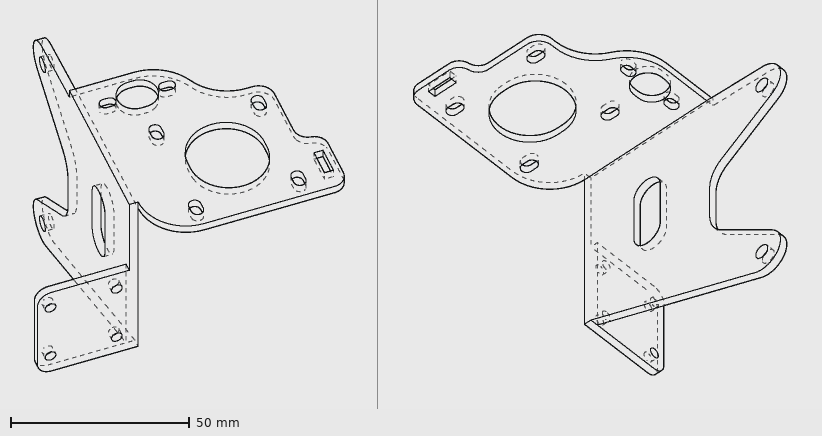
import cadquery as cq
import math

sheet = 2.7
flange_sheet = 2.5

wall_right = 46.55
ear_radius = 7.1
ear_hole_diameter = 4.5
ear_reach = 28.1
ear_x = ear_radius - ear_reach
overall_height = 83.6
lower_ear_z = ear_radius - overall_height
ear_pitch = 65.9
upper_ear_z = lower_ear_z + ear_pitch
middle_z = (upper_ear_z + lower_ear_z) / 2
notch_x = -1.2
notch_radius = 10.0
notch_flat = 11.3
wall_slot_length = 25.1
wall_slot_width = 10.0
wall_slot_x = 22.7
wall_slot_z = -31.15

flange_reach = 27.6
flange_height = 32.6
flange_corner = 4.2
flange_hole_diameter = 3.2
flange_hole_pitch = 19.9
flange_hole_y = -13.7
flange_left = wall_right - flange_sheet
flange_bottom = middle_z - flange_height / 2

overall_depth = 88.0
plate_back = overall_depth - flange_reach
plate_right = 60.9
front_corner = plate_right - wall_right
tab_step = 7.2
tab_radius = 4.2
tab_curve_x = 40.85
shoulder_y = plate_back - tab_step
shoulder_x = 17.1
shoulder_radius = 4.8
side_curve_start = 19.4
side_curve_end = 46.6

motor_x = 38.9
motor_y = 32.5
motor_pitch = 30.8
motor_travel = 2.05
motor_bore = 23.0
motor_screw = 3.6
sensor_x = 8.2
sensor_y = 17.3
sensor_pitch = 17.9
sensor_travel = 1.6
sensor_bore = 10.4
sensor_screw = 3.2
tab_window_x = 50.9
tab_window_y = 56.8
tab_window_length = 8.1
tab_window_width = 2.7


def on_circle(center, radius, angle):
    """Point on a circle at an angle in radians."""
    return (center[0] + radius * math.cos(angle), center[1] + radius * math.sin(angle))


def corner_middle(center, radius, quadrant_angle):
    """Middle point of a quarter-round corner."""
    return on_circle(center, radius, math.radians(quadrant_angle))


def tangent_normal(corner, center, radius, side):
    """Angle of the circle point where a line from an outside corner touches it."""
    dx = corner[0] - center[0]
    dz = corner[1] - center[1]
    return math.atan2(dz, dx) + side * math.acos(radius / math.hypot(dx, dz))


def make_wall():
    upper = (ear_x, upper_ear_z)
    lower = (ear_x, lower_ear_z)
    step_corner = (0, -sheet)
    flange_corner_point = (flange_left, flange_bottom)
    top_angle = tangent_normal(step_corner, upper, ear_radius, 1)
    bottom_angle = tangent_normal(flange_corner_point, lower, ear_radius, -1)

    notch_upper = (notch_x - notch_radius, middle_z + notch_flat / 2)
    notch_lower = (notch_upper[0], middle_z - notch_flat / 2)
    dx = notch_upper[0] - upper[0]
    dz = notch_upper[1] - upper[1]
    normal = math.atan2(dz, dx) - math.acos((ear_radius + notch_radius) / math.hypot(dx, dz))
    normal %= 2 * math.pi
    facing = normal - math.pi
    profile = (
        cq.Workplane("XZ")
        .moveTo(0, 0)
        .lineTo(*step_corner)
        .lineTo(*on_circle(upper, ear_radius, top_angle))
        .threePointArc((-ear_reach, upper_ear_z), on_circle(upper, ear_radius, normal))
        .lineTo(*on_circle(notch_upper, notch_radius, facing))
        .threePointArc(
            on_circle(notch_upper, notch_radius, facing / 2),
            (notch_x, notch_upper[1]),
        )
        .lineTo(notch_x, notch_lower[1])
        .threePointArc(
            on_circle(notch_lower, notch_radius, -facing / 2),
            on_circle(notch_lower, notch_radius, -facing),
        )
        .lineTo(*on_circle(lower, ear_radius, -normal))
        .threePointArc((-ear_reach, lower_ear_z), on_circle(lower, ear_radius, bottom_angle))
        .lineTo(*flange_corner_point)
        .lineTo(wall_right, flange_bottom)
        .lineTo(wall_right, 0)
        .close()
    )
    wall = profile.extrude(-sheet)
    ear_holes = (
        cq.Workplane("XZ")
        .pushPoints([upper, lower])
        .circle(ear_hole_diameter / 2)
        .extrude(-sheet)
    )
    slot = (
        cq.Workplane("XZ")
        .center(wall_slot_x, wall_slot_z)
        .slot2D(wall_slot_length, wall_slot_width, 90)
        .extrude(-sheet)
    )
    return wall.cut(ear_holes).cut(slot)


def plate_slots(points, diameter, travel, angle):
    """Cutters for round holes stretched by a travel distance."""
    return (
        cq.Workplane("XY")
        .pushPoints(points)
        .slot2D(diameter + travel, diameter, angle)
        .extrude(-sheet)
    )


def make_plate():
    tab_run = math.sqrt(tab_step * (4 * tab_radius - tab_step))
    tab_convex = (tab_curve_x + tab_run / 2, plate_back - tab_radius)
    tab_concave = (tab_curve_x - tab_run / 2, shoulder_y + tab_radius)
    tab_middle = (tab_curve_x, shoulder_y + tab_step / 2)
    side_rise = side_curve_end - side_curve_start
    side_middle = (shoulder_x / 2, side_curve_start + side_rise / 2)

    front_center = (wall_right, sheet + front_corner)
    tab_center = (plate_right - tab_radius, plate_back - tab_radius)
    shoulder_center = (shoulder_x + shoulder_radius, shoulder_y - shoulder_radius)
    plate = (
        cq.Workplane("XY")
        .moveTo(0, 0)
        .lineTo(wall_right, 0)
        .lineTo(wall_right, sheet)
        .threePointArc(
            corner_middle(front_center, front_corner, -45),
            (plate_right, front_center[1]),
        )
        .lineTo(plate_right, tab_center[1])
        .threePointArc(corner_middle(tab_center, tab_radius, 45), (tab_center[0], plate_back))
        .lineTo(tab_convex[0], plate_back)
        .tangentArcPoint(tab_middle, relative=False)
        .tangentArcPoint((tab_concave[0], shoulder_y), relative=False)
        .lineTo(shoulder_center[0], shoulder_y)
        .threePointArc(
            corner_middle(shoulder_center, shoulder_radius, 135),
            (shoulder_x, shoulder_center[1]),
        )
        .lineTo(shoulder_x, side_curve_end)
        .tangentArcPoint(side_middle, relative=False)
        .tangentArcPoint((0, side_curve_start), relative=False)
        .close()
        .extrude(-sheet)
    )
    motor_screws = [
        (motor_x + i * motor_pitch / 2, motor_y + j * motor_pitch / 2)
        for i in (-1, 1)
        for j in (-1, 1)
    ]
    sensor_screws = [(sensor_x, sensor_y + j * sensor_pitch / 2) for j in (-1, 1)]
    window = (
        cq.Workplane("XY")
        .center(tab_window_x, tab_window_y)
        .rect(tab_window_length, tab_window_width)
        .extrude(-sheet)
    )
    return (
        plate.cut(plate_slots([(motor_x, motor_y)], motor_bore, motor_travel, 0))
        .cut(plate_slots(motor_screws, motor_screw, motor_travel, 0))
        .cut(plate_slots([(sensor_x, sensor_y)], sensor_bore, sensor_travel, 90))
        .cut(plate_slots(sensor_screws, sensor_screw, sensor_travel, 90))
        .cut(window)
    )


def make_flange():
    depth = flange_reach + sheet
    flange = (
        cq.Workplane("YZ", origin=(flange_left, 0, 0))
        .center(sheet - depth / 2, middle_z)
        .rect(depth, flange_height)
        .extrude(flange_sheet)
        .edges("|X and <Y")
        .fillet(flange_corner)
    )
    holes = (
        cq.Workplane("YZ", origin=(flange_left, 0, 0))
        .center(flange_hole_y, middle_z)
        .rect(flange_hole_pitch, flange_hole_pitch, forConstruction=True)
        .vertices()
        .circle(flange_hole_diameter / 2)
        .extrude(flange_sheet)
    )
    return flange.cut(holes)


result = make_wall().union(make_plate()).union(make_flange())